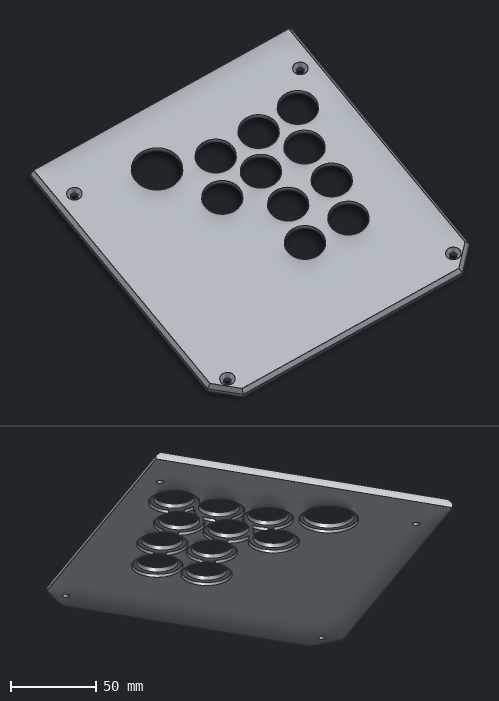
import cadquery as cq

length = 200.0
width = 185.0
thickness = 5.0
corner_cut = 15.0
edge_chamfer = 2.5

screw_spacing = 159.5
screw_pattern_x = 7.2
screw_diameter = 4.5
countersink_diameter = 9.0
countersink_angle = 90.0

rim_thickness = 3.0
button_diameter = 24.0
button_recess_diameter = 30.0
large_button_diameter = 30.0
large_button_recess_diameter = 35.0
large_button_center = (-60.2, -29.8)

button_centers = [
    (-50.5, 63.0), (-49.0, 34.5), (-48.5, 3.8),
    (-24.8, 50.5), (-24.8, 19.5), (-22.0, -9.5),
    (3.5, 50.5), (3.5, 19.5),
    (31.5, 43.2), (31.8, 12.5),
]


def make_plate():
    """Plate with two cut corners; the top edge is beveled except on the -X side."""
    plate = cq.Workplane("XY").box(length, width, thickness, centered=(True, True, False))
    plate = plate.edges("|Z and >X").chamfer(corner_cut)
    bevel_edges = plate.faces(">Z").edges("not <X")
    return bevel_edges.chamfer(edge_chamfer)


def cut_buttons(plate, centers, diameter, recess_diameter):
    """Through holes with recesses rising from the underside to the rim."""
    holes = cq.Workplane("XY").pushPoints(centers).circle(diameter / 2).extrude(thickness)
    recess_depth = thickness - rim_thickness
    plate = plate.cut(holes)
    for center in centers:
        recess = cq.Workplane("XY").center(*center).circle(recess_diameter / 2).extrude(recess_depth)
        plate = plate.cut(recess)
    return plate


def cut_screw_holes(plate):
    """Countersunk through holes at the corners of the screw pattern."""
    return (
        plate.faces(">Z").workplane(origin=(screw_pattern_x, 0, thickness))
        .rect(screw_spacing, screw_spacing, forConstruction=True).vertices()
        .cskHole(screw_diameter, countersink_diameter, countersink_angle)
    )


result = make_plate()
result = cut_screw_holes(result)
result = cut_buttons(result, button_centers, button_diameter, button_recess_diameter)
result = cut_buttons(
    result, [large_button_center], large_button_diameter, large_button_recess_diameter
)